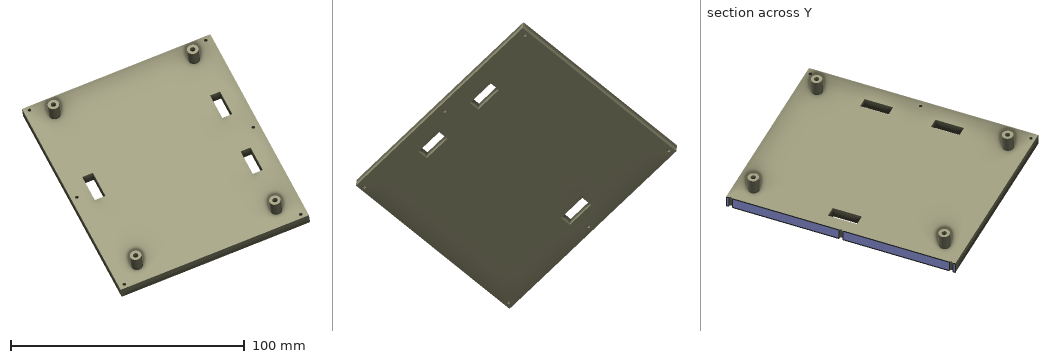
import cadquery as cq
import math

plate_length = 108.0
plate_thickness = 5.0
tilt_angle = 5.5
tilted_depth = 88.0
tilt = math.radians(tilt_angle)
plate_width = (tilted_depth - plate_thickness * math.sin(tilt)) / math.cos(tilt)

screw_hole_diameter = 1.5
screw_x = plate_length / 2 - 2.0
screw_rear_y = plate_width / 2 - 3.0
screw_front_y = 2.6 - plate_width / 2

total_height = 19.7
post_diameter = 5.0
post_left_x = -44.8
post_right_x = 45.1
post_y = 32.5
post_hole_diameter = 2.3
post_hole_depth = 5.0
rim_y = post_y + post_diameter / 2
post_height = (
    (total_height - (rim_y + plate_width / 2) * math.sin(tilt)) / math.cos(tilt) - plate_thickness
)

rear_slot_length = 13.4
rear_slot_width = 4.6
rear_slot_y = 33.4
rear_slot_centers = [(-17.3, rear_slot_y), (16.1, rear_slot_y)]
front_slot_length = 13.7
front_slot_width = 5.0
front_slot_center = (-1.9, -32.6)


def make_plate():
    """Plate resting on Z = 0 with its screw holes and slots."""
    plate = cq.Workplane("XY").box(
        plate_length, plate_width, plate_thickness, centered=(True, True, False)
    )
    screw_points = [(x, y) for x in (-screw_x, 0, screw_x) for y in (screw_front_y, screw_rear_y)]
    plate = plate.faces(">Z").workplane().pushPoints(screw_points).hole(screw_hole_diameter)
    slots = (
        cq.Workplane("XY")
        .pushPoints(rear_slot_centers)
        .rect(rear_slot_length, rear_slot_width)
        .extrude(plate_thickness)
    )
    front_slot = (
        cq.Workplane("XY")
        .center(*front_slot_center)
        .rect(front_slot_length, front_slot_width)
        .extrude(plate_thickness)
    )
    return plate.cut(slots).cut(front_slot)


def add_posts(plate):
    """Add four standoffs and drill a blind hole into each."""
    post_points = [(x, y) for x in (post_left_x, post_right_x) for y in (-post_y, post_y)]
    posts = (
        cq.Workplane("XY", origin=(0, 0, plate_thickness))
        .pushPoints(post_points)
        .circle(post_diameter / 2)
        .extrude(post_height)
    )
    holes = (
        cq.Workplane("XY", origin=(0, 0, plate_thickness + post_height))
        .pushPoints(post_points)
        .circle(post_hole_diameter / 2)
        .extrude(-post_hole_depth)
    )
    return plate.union(posts).cut(holes)


result = add_posts(make_plate()).rotate((0, 0, 0), (1, 0, 0), tilt_angle)